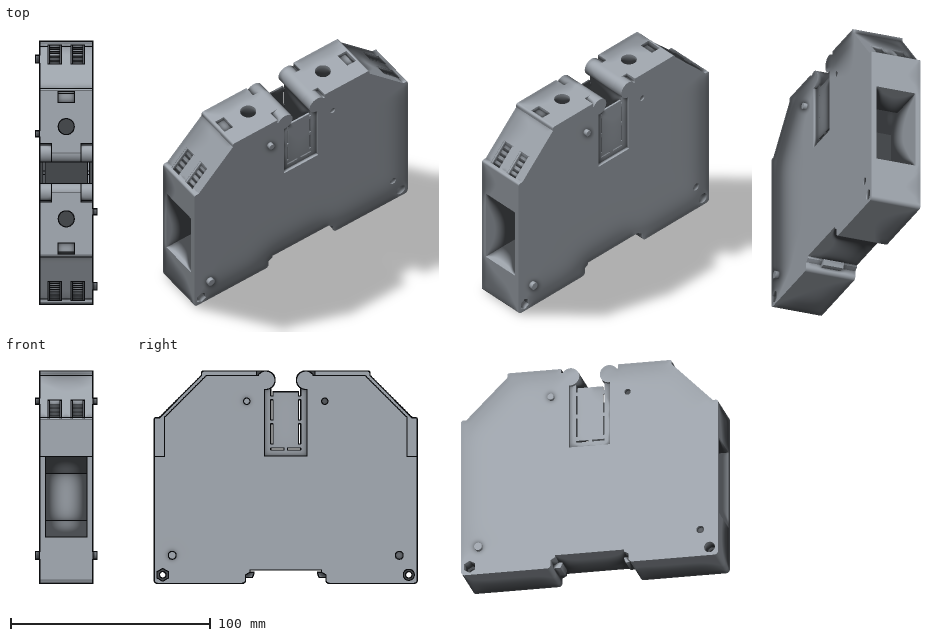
import cadquery as cq
import math


LENGTH = 132.0
HEIGHT = 106.5
WIDTH = 26.7
HALF_LENGTH = LENGTH / 2
HALF_WIDTH = WIDTH / 2
FOOT_FILLET = 1.8

RAIL_HALF = 17.8
RAIL_TOP = 6.7
RAIL_LIP = 5.7
FOOT_EDGE = 20.0
FOOT_SHOULDER = 4.4

JAW_WIDTH = 10.8
JAW_REACH = 15.8
JAW_TIP_HEIGHT = 0.5
JAW_BOTTOM = 2.9
JAW_BOTTOM_REACH = 16.8

COVER_TOP = 2.2
COVER_FRONT = 5.1
COVER_BOTTOM = 63.6
SHOULDER_Z = 83.2
SLOPE_TOP_Y = 42.2
SLOPE_THICKNESS = 2.5
COVER_FILLET = 1.0
SEAT_Z = HEIGHT - COVER_TOP
SLOPE_SUM = SLOPE_TOP_Y + SEAT_Z
SLOPE_BOTTOM_Y = SLOPE_SUM - SHOULDER_Z
SEAT_SLOPE_SUM = SLOPE_SUM - SLOPE_THICKNESS
SEAT_FRONT_Y = HALF_LENGTH - COVER_FRONT
SEAT_TOP_Y = SEAT_SLOPE_SUM - SEAT_Z
SEAT_CORNER_Z = SEAT_SLOPE_SUM - SEAT_FRONT_Y

KNUCKLE_R = 4.6
KNUCKLE_Y = 9.9
KNUCKLE_Z = HEIGHT - KNUCKLE_R
TONGUE_WIDTH = 14.8
TONGUE_ROOT_Y = 14.7

WINDOW_WIDTH = 8.2
WINDOW_INNER_Y = 35.2
WINDOW_OUTER_Y = 40.7

SLOT_X = 5.8
SLOT_WIDTH = 5.1
SLOT_INNER_Y = 54.5
SLOT_OUTER_Y = 64.0
REBATE_WIDTH = 6.9
REBATE_DEPTH = 0.3
NOTCH_COUNT = 4
NOTCH_START_Y = 55.5
NOTCH_SIZE = 1.0
NOTCH_PITCH = 2.1

SCREW_Y = 23.1
SCREW_D = 8.0
SCREW_DEPTH = 15.8
POCKET_WIDTH = 21.0
POCKET_BOTTOM = 23.2
POCKET_FLAT = 23.8
POCKET_TAPER = 8.5

CHANNEL_HALF = 7.4
CHANNEL_FLOOR = 66.9
RECESS_HALF = 10.5
RECESS_BOTTOM = 64.0
PANEL_INSET = 1.7
PANEL_THICKNESS = 0.9
PANEL_TOP = 96.1
PANEL_SLOT = 0.9
PANEL_TAB = 2.0
SIDE_SLOT_LENGTH = 10.0
SIDE_SLOT_COUNT = 2
OPEN_SLOT_BOTTOM = 94.0

COUPLINGS = [(19.5, 91.3, 3.2), (56.9, 14.1, 4.0)]
PEG_LENGTH = 2.1
PEG_HOLE_DEPTH = 2.6

BOLT_Y = 61.6
BOLT_Z = 4.4
BOLT_D = 3.2
BOLT_HEAD_D = 5.5
BOLT_HEAD_DEPTH = 7.9
NUT_FLATS = 5.5


def prism(points, width, x=0.0):
    """Extrude a Y-Z polygon over a width centred on x."""
    return cq.Workplane("YZ").workplane(offset=x).polyline(points).close().extrude(width / 2, both=True)


def block(x_range, y_range, z_range):
    """Box between two limits along each axis."""
    limits = (x_range, y_range, z_range)
    sizes = [high - low for low, high in limits]
    lows = [low for low, high in limits]
    return cq.Workplane("XY").box(*sizes, centered=False).translate(tuple(lows))


def rod(x_start, length, y, z, diameter):
    """Cylinder along X."""
    return cq.Workplane("YZ").workplane(offset=x_start).center(y, z).circle(diameter / 2).extrude(length)


def turned(shape):
    """The same shape turned half a turn about the Z axis."""
    return shape.rotate((0, 0, 0), (0, 0, 1), 180)


def both_ends(shape):
    return shape.union(turned(shape))


def slope_band(depth, width, x):
    """Vertical-walled recess of a given depth below the outer slope, open upward."""
    top = HEIGHT
    points = [
        (SLOT_INNER_Y, top),
        (SLOT_INNER_Y, SLOPE_SUM - SLOT_INNER_Y - depth),
        (SLOT_OUTER_Y, SLOPE_SUM - SLOT_OUTER_Y - depth),
        (SLOT_OUTER_Y, top),
    ]
    return prism(points, width, x)


def slope_notches(x):
    """Triangular notches, upright on the inner side, in the slope of the slot floor."""
    notches = cq.Workplane("YZ")
    for index in range(NOTCH_COUNT):
        y = NOTCH_START_Y + index * NOTCH_PITCH
        z = SEAT_SLOPE_SUM - y
        points = [(y, z), (y, z - 2 * NOTCH_SIZE), (y + NOTCH_SIZE, z - NOTCH_SIZE)]
        notches = notches.add(prism(points, SLOT_WIDTH, x))
    return notches.combine()


def serrated_slots():
    slots = cq.Workplane("YZ")
    for x in (-SLOT_X, SLOT_X):
        slots = slots.add(slope_band(REBATE_DEPTH, REBATE_WIDTH, x))
        slots = slots.add(slope_band(SLOPE_THICKNESS, SLOT_WIDTH, x))
        slots = slots.add(slope_notches(x))
    return slots.combine()


def screw_hole():
    hole = cq.Workplane("XY").workplane(offset=HEIGHT).center(0, SCREW_Y).circle(SCREW_D / 2)
    return hole.extrude(-SCREW_DEPTH)


def knuckle():
    return rod(-HALF_WIDTH, WIDTH, KNUCKLE_Y, KNUCKLE_Z, 2 * KNUCKLE_R)


def make_cover():
    """Bent lid over one end of the housing, with a tongue that wraps the knuckle."""
    inner_r = KNUCKLE_R - COVER_TOP
    diagonal = math.sqrt(0.5)
    outer_mid = (KNUCKLE_Y - KNUCKLE_R * diagonal, KNUCKLE_Z + KNUCKLE_R * diagonal)
    inner_mid = (KNUCKLE_Y - inner_r * diagonal, KNUCKLE_Z + inner_r * diagonal)
    cover = (
        cq.Workplane("YZ")
        .moveTo(HALF_LENGTH, COVER_BOTTOM)
        .lineTo(HALF_LENGTH, SHOULDER_Z)
        .lineTo(SLOPE_BOTTOM_Y, SHOULDER_Z)
        .lineTo(SLOPE_TOP_Y, SEAT_Z)
        .lineTo(SLOPE_TOP_Y, HEIGHT)
        .lineTo(KNUCKLE_Y, HEIGHT)
        .threePointArc(outer_mid, (KNUCKLE_Y - KNUCKLE_R, KNUCKLE_Z))
        .lineTo(KNUCKLE_Y - inner_r, KNUCKLE_Z)
        .threePointArc(inner_mid, (KNUCKLE_Y, SEAT_Z))
        .lineTo(SEAT_TOP_Y, SEAT_Z)
        .lineTo(SEAT_FRONT_Y, SEAT_CORNER_Z)
        .lineTo(SEAT_FRONT_Y, COVER_BOTTOM)
        .close()
        .extrude(HALF_WIDTH, both=True)
    )
    for corner in ((0, HALF_LENGTH, SHOULDER_Z), (0, SLOPE_TOP_Y, HEIGHT)):
        cover = cover.edges(cq.selectors.NearestToPointSelector(corner)).fillet(COVER_FILLET)

    tongue_half = TONGUE_WIDTH / 2
    for x_range in ((-HALF_WIDTH, -tongue_half), (tongue_half, HALF_WIDTH)):
        cover = cover.cut(block(x_range, (0, TONGUE_ROOT_Y), (KNUCKLE_Z, HEIGHT)))

    window_half = WINDOW_WIDTH / 2
    window_bottom = SEAT_SLOPE_SUM - WINDOW_OUTER_Y
    window = block((-window_half, window_half), (WINDOW_INNER_Y, WINDOW_OUTER_Y), (window_bottom, HEIGHT))
    return cover.cut(window).cut(serrated_slots()).cut(screw_hole())


def wire_pocket():
    """Pocket from the end face, narrowing in height toward its back wall."""
    mouth_y = HALF_LENGTH
    taper_y = mouth_y - POCKET_FLAT
    back_y = taper_y - POCKET_TAPER
    points = [
        (mouth_y, POCKET_BOTTOM),
        (mouth_y, COVER_BOTTOM),
        (taper_y, COVER_BOTTOM),
        (back_y, COVER_BOTTOM - POCKET_TAPER),
        (back_y, POCKET_BOTTOM + POCKET_TAPER),
        (taper_y, POCKET_BOTTOM),
    ]
    return prism(points, POCKET_WIDTH)


def panel_opening(x_range):
    """Rectangle around the channel, bounded above by the knuckles."""
    opening = block(x_range, (-RECESS_HALF, RECESS_HALF), (RECESS_BOTTOM, KNUCKLE_Z))
    return opening.cut(both_ends(knuckle()))


def bolt_cuts():
    """Through hole with a hexagonal nut pocket on -X and a round head pocket on +X."""
    through = rod(-HALF_WIDTH, WIDTH, BOLT_Y, BOLT_Z, BOLT_D)
    head = rod(HALF_WIDTH - BOLT_HEAD_DEPTH, BOLT_HEAD_DEPTH, BOLT_Y, BOLT_Z, BOLT_HEAD_D)
    nut_corners = NUT_FLATS / math.cos(math.pi / 6)
    nut = (
        cq.Workplane("YZ")
        .workplane(offset=-HALF_WIDTH)
        .center(BOLT_Y, BOLT_Z)
        .transformed(rotate=(0, 0, 90))
        .polygon(6, nut_corners)
        .extrude(BOLT_HEAD_DEPTH)
    )
    return through.union(head).union(nut)


def make_housing(covers):
    half_outline = [
        (RAIL_HALF, RAIL_TOP),
        (RAIL_HALF, RAIL_LIP),
        (FOOT_EDGE, FOOT_SHOULDER),
        (FOOT_EDGE, 0),
        (HALF_LENGTH, 0),
        (HALF_LENGTH, COVER_BOTTOM),
        (SEAT_FRONT_Y, COVER_BOTTOM),
        (SEAT_FRONT_Y, SEAT_CORNER_Z),
        (SEAT_TOP_Y, SEAT_Z),
        (CHANNEL_HALF, SEAT_Z),
        (CHANNEL_HALF, CHANNEL_FLOOR),
    ]
    other_half = [(-y, z) for y, z in reversed(half_outline)]
    housing = prism(half_outline + other_half, WIDTH)
    housing = housing.edges("|X and <Z").fillet(FOOT_FILLET)
    housing = housing.union(both_ends(knuckle()))
    for cover in covers:
        housing = housing.cut(cover)

    recess_depth = PANEL_INSET + PANEL_THICKNESS
    recess = panel_opening((-HALF_WIDTH, -HALF_WIDTH + recess_depth))
    end_cuts = [recess, wire_pocket(), screw_hole(), serrated_slots(), bolt_cuts()]
    for y, z, diameter in COUPLINGS:
        end_cuts.append(rod(HALF_WIDTH - PEG_HOLE_DEPTH, PEG_HOLE_DEPTH, y, z, diameter))
    for cut in end_cuts:
        housing = housing.cut(cut).cut(turned(cut))

    for y, z, diameter in COUPLINGS:
        peg = rod(-HALF_WIDTH - PEG_LENGTH, PEG_LENGTH, y, z, diameter)
        housing = housing.union(peg).union(turned(peg))
    return housing


def make_panel():
    """Thin plate on the -X side, its middle held to the rim by tabs between slots."""
    outer_x = -HALF_WIDTH + PANEL_INSET
    x_range = (outer_x, outer_x + PANEL_THICKNESS)
    tongue_half = CHANNEL_HALF - PANEL_SLOT
    tab_half = PANEL_TAB / 2
    panel = panel_opening(x_range)
    panel = panel.cut(block(x_range, (-CHANNEL_HALF, CHANNEL_HALF), (PANEL_TOP, HEIGHT)))

    slot_spans = [(OPEN_SLOT_BOTTOM, HEIGHT)]
    for _ in range(SIDE_SLOT_COUNT):
        slot_top = slot_spans[-1][0] - PANEL_TAB
        slot_spans.append((slot_top - SIDE_SLOT_LENGTH, slot_top))
    cuts = [block(x_range, (tongue_half, CHANNEL_HALF), span) for span in slot_spans]
    bottom_span = (CHANNEL_FLOOR, CHANNEL_FLOOR + PANEL_SLOT)
    cuts.append(block(x_range, (tab_half, CHANNEL_HALF), bottom_span))
    for cut in cuts:
        panel = panel.cut(cut).cut(cut.mirror("XZ"))
    return panel


def make_jaw():
    """Hook that reaches under the rail from the foot."""
    points = [
        (RAIL_HALF, RAIL_LIP),
        (JAW_REACH, RAIL_LIP),
        (JAW_REACH, RAIL_LIP - JAW_TIP_HEIGHT),
        (JAW_BOTTOM_REACH, JAW_BOTTOM),
        (FOOT_EDGE, JAW_BOTTOM),
        (FOOT_EDGE, FOOT_SHOULDER),
    ]
    return prism(points, JAW_WIDTH)


def pair(make_body):
    """Two separate bodies, one at each end or side."""
    return [make_body(), turned(make_body())]


covers = pair(make_cover)
panels = pair(make_panel)
jaws = pair(make_jaw)
housing = make_housing(covers)

result = cq.Compound.makeCompound([body.val() for body in [housing, *covers, *panels, *jaws]])